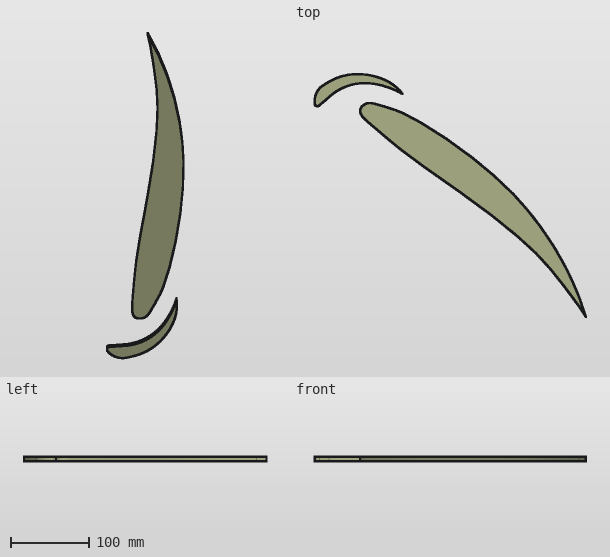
import cadquery as cq

SPAN_X = 346.5
THICKNESS = 6.2

MAIN_TRAILING_EDGE = (SPAN_X, 0)
MAIN_UPPER = [(330.0, 43.5), (302.0, 95.3), (254.2, 156.2), (201.0, 203.5), (133.5, 249.5), (104.0, 264.0)]
MAIN_NOSE = [(80.5, 271.2), (65.5, 272.2), (58.5, 265.3)]
MAIN_LOWER = [(71.5, 246.0), (106.0, 217.0), (185.0, 159.7), (251.0, 109.5), (291.3, 72.0), (321.0, 35.7)]
MAIN_TAIL_START = (337.7, 13.0)

SLAT_TRAILING_EDGE = (112.5, 284.5)
SLAT_UPPER = [(100.8, 296.0), (79.3, 306.5), (56.8, 310.0), (34.5, 307.2), (18.0, 300.0)]
SLAT_SHOULDER = (8.3, 293.7)
SLAT_FRONT_MIDDLE = (1.5, 283.5)
SLAT_TIP_FRONT = (0.5, 271.2)
SLAT_TIP_BOTTOM = (3.5, 268.8)
SLAT_TIP_REAR = (6.5, 270.0)
SLAT_COVE_START = (18.5, 280.2)
SLAT_COVE = [(34.3, 291.3), (54.5, 297.5), (83.8, 295.8)]


def main_element():
    """Cambered main aerofoil with a rounded nose and a sharp trailing edge."""
    return (
        cq.Workplane("XY")
        .moveTo(*MAIN_TRAILING_EDGE)
        .spline(MAIN_UPPER + MAIN_NOSE + MAIN_LOWER + [MAIN_TAIL_START], includeCurrent=True)
        .close()
        .extrude(THICKNESS)
    )


def slat():
    """Curved leading-edge slat, separated from the main element by an open gap."""
    return (
        cq.Workplane("XY")
        .moveTo(*SLAT_TRAILING_EDGE)
        .spline(SLAT_UPPER + [SLAT_SHOULDER], includeCurrent=True)
        .threePointArc(SLAT_FRONT_MIDDLE, SLAT_TIP_FRONT)
        .threePointArc(SLAT_TIP_BOTTOM, SLAT_TIP_REAR)
        .lineTo(*SLAT_COVE_START)
        .spline(SLAT_COVE + [SLAT_TRAILING_EDGE], includeCurrent=True)
        .close()
        .extrude(THICKNESS)
    )


result = cq.Compound.makeCompound([main_element().val(), slat().val()])